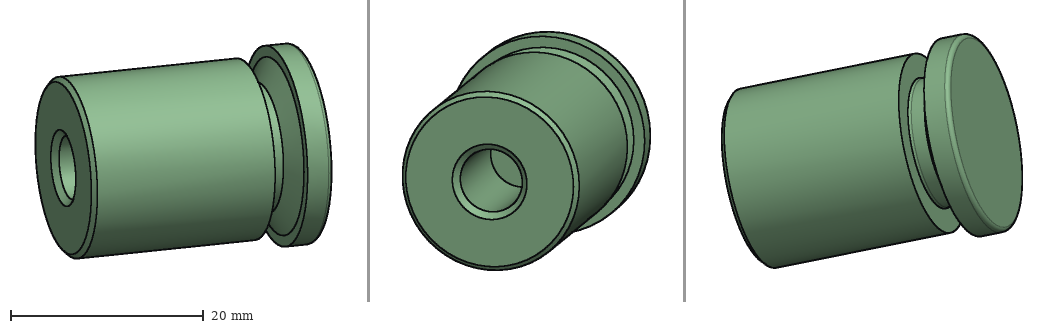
import cadquery as cq

length = 26.0

body_radius = 19.0 / 2
body_length = 20.0
body_chamfer = 0.5

neck_radius = 13.7 / 2
neck_length = 1.82
neck_flare_height = 0.3
neck_flare_width = 0.08

flange_radius = 21.0 / 2
flange_thickness = 2.78
flange_fillet = 0.5
cone_radius = 9.33

hole_diameter = 6.65
hole_depth = 13.0
hole_mouth_diameter = 8.0

neck_end = body_length + neck_length
neck_flare_radius = (neck_flare_height**2 + neck_flare_width**2) / (2 * neck_flare_width)
flange_start = length - flange_thickness
hole_chamfer = (hole_mouth_diameter - hole_diameter) / 2


def make_turned_blank():
    """Revolve the half profile, drawn as (radius, Y), about the Y axis."""
    profile = (
        cq.Workplane("XY")
        .lineTo(body_radius - body_chamfer, 0)
        .lineTo(body_radius, body_chamfer)
        .lineTo(body_radius, body_length)
        .lineTo(neck_radius + neck_flare_width, body_length)
        .radiusArc((neck_radius, body_length + neck_flare_height), neck_flare_radius)
        .lineTo(neck_radius, neck_end)
        .lineTo(cone_radius, flange_start)
        .lineTo(flange_radius, flange_start)
        .lineTo(flange_radius, length - flange_fillet)
        .radiusArc((flange_radius - flange_fillet, length), -flange_fillet)
        .lineTo(0, length)
        .close()
    )
    return profile.revolve(360, (0, 0, 0), (0, 1, 0))


def make_hole_cutter():
    """Revolve the flat-bottomed hole with its chamfered mouth."""
    profile = (
        cq.Workplane("XY")
        .lineTo(hole_mouth_diameter / 2, 0)
        .lineTo(hole_diameter / 2, hole_chamfer)
        .lineTo(hole_diameter / 2, hole_depth)
        .lineTo(0, hole_depth)
        .close()
    )
    return profile.revolve(360, (0, 0, 0), (0, 1, 0))


result = make_turned_blank().cut(make_hole_cutter())